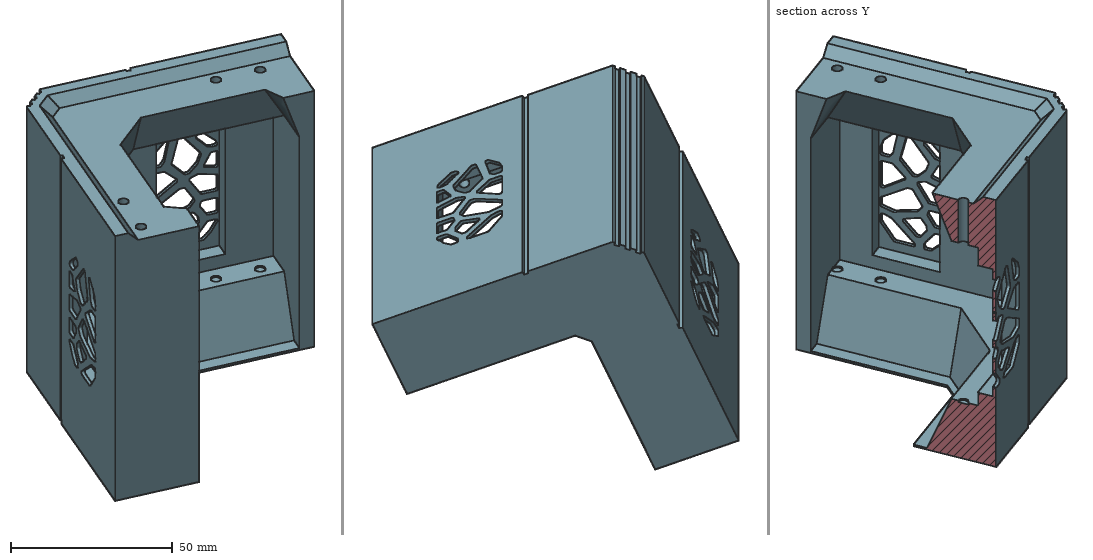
import cadquery as cq
import math

LENGTH_X = 83.5
LENGTH_Y = 88.5
HEIGHT = 100.0
LEG_DEPTH = 28.1
INNER_CORNER = 32.0

PANEL_STEP = 0.4
OUTER_CORNER = 7.9
GROOVE_CENTER = 37.2
GROOVE_MOUTH = 1.9
GROOVE_BASE = 1.3
GROOVE_DEPTH = 1.1

CORNER_GROOVE_COUNT = 3
CORNER_GROOVE_PITCH = 3.6
CORNER_GROOVE_MOUTH = 1.7
CORNER_GROOVE_BASE = 1.5
CORNER_GROOVE_DEPTH = 0.8

RIM_HEIGHT = 3.4
RIM_TOP_INSET = 4.4
RIM_TOP_CORNER = 8.8
RIM_FOOT_INSET = 7.7
RIM_FOOT_CORNER = 11.5
DECK_Z = HEIGHT - RIM_HEIGHT

WALL = 6.2
END_WALL = 5.0
CAVITY_CORNER = 10.5
FLOOR = 0.8
SHELF_Z = 21.5
FLARE_ANGLE = 68.0
FLARE_DECK_INSET = 21.8
FLARE_FLOOR_INSET = 23.6
FLARE_CORNER = 33.1
NOTCH_END = 10.4
NOTCH_END_ANGLE = 30.0
FLARE_SLOPE = math.tan(math.radians(FLARE_ANGLE))
FLARE_ROOT_INSET = FLARE_FLOOR_INSET - (SHELF_Z - FLOOR) / FLARE_SLOPE
CEILING_Z = DECK_Z - (FLARE_DECK_INSET - FLARE_ROOT_INSET) * FLARE_SLOPE

HOLE_STATIONS = (62.3, 77.1)
HOLE_INSET = 11.2
HOLE_DIAMETER = 3.3
SEAT_DEPTH = 0.6

NEAR = 44.9
FAR = 66.9
LOW = 29.7
HIGH = 70.3
LATTICE_THICKNESS = 1.2
RECESS_SIDE_MARGIN = 0.5
RECESS_END_MARGIN = 3.4
CELL_RADIUS = 0.7
WINDOW_CELLS = [
    [(44.6, 64.3), (45.8, 66.4), (49.9, HIGH), (51.3, HIGH), (52.5, 69.1), (48.3, 64.5), (47.0, 64.2)],
    [(50.4, 62.4), (56.6, HIGH), (58.1, HIGH), (60.4, 60.9), (56.0, 56.0), (54.5, 56.0), (51.6, 59.0)],
    [(61.1, HIGH), (62.3, HIGH), (66.0, 66.5), (FAR, 64.0), (FAR, 60.9), (64.0, 60.9), (62.7, 62.6)],
    [(NEAR, 62.2), (47.2, 62.2), (49.9, 57.2), (45.7, 56.1), (NEAR, 56.1)],
    [(NEAR, 53.2), (51.5, 55.1), (54.8, 53.9), (50.5, 47.2), (NEAR, 47.2)],
    [(NEAR, 44.6), (50.4, 44.6), (51.0, 42.8), (48.4, 38.8), (NEAR, 38.8)],
    [(44.4, 36.5), (48.3, 36.5), (52.1, 31.6), (52.1, LOW), (49.7, LOW), (47.3, 32.0)],
    [(53.2, 41.1), (59.9, 38.8), (54.7, 33.7), (53.5, 33.7), (51.1, 36.8), (51.3, 38.6)],
    [(56.0, 51.0), (57.7, 51.0), (FAR, 45.0), (FAR, 41.7), (62.5, 40.7), (54.2, 43.2), (52.5, 45.4)],
    [(62.8, 58.8), (FAR, 58.8), (FAR, 48.3), (65.5, 49.1), (58.0, 54.3)],
    [(54.0, LOW), (62.3, LOW), (FAR, 35.8), (FAR, 39.1), (65.6, 39.1), (63.2, 38.3)],
]


def prism(points, bottom, top):
    return cq.Workplane("XY").workplane(offset=bottom).polyline(points).close().extrude(top - bottom)


def ruled_block(lower, bottom, upper, top):
    """Straight-sided block between two outlines with matching corners."""
    base = cq.Workplane("XY").workplane(offset=bottom).polyline(lower).close()
    return base.workplane(offset=top - bottom).polyline(upper).close().loft(ruled=True)


def swapped(points):
    """Mirror points across the plane x = y, in reverse order."""
    return [(y, x) for x, y in reversed(points)]


def l_path(inset, corner, end=0.0):
    """Line at a distance inside both outer faces, chamfered at the corner, from leg end to leg end."""
    return [(inset, LENGTH_Y - end), (inset, corner), (corner, inset), (LENGTH_X - end, inset)]


def make_blank():
    step = [(0, GROOVE_CENTER), (PANEL_STEP, GROOVE_CENTER), (PANEL_STEP, OUTER_CORNER)]
    skin = [(0, LENGTH_Y)] + step + swapped(step) + [(LENGTH_X, 0)]
    back = l_path(LEG_DEPTH, INNER_CORNER)
    return prism(skin + back[::-1], 0, HEIGHT)


def make_groove(mouth, base, depth):
    """Full-height tapered groove, cut into a face on the plane x = 0."""
    taper = [(0, -mouth / 2), (depth, -base / 2), (depth, base / 2), (0, mouth / 2)]
    outline = taper + [(-depth, mouth / 2), (-depth, -mouth / 2)]
    return prism(outline, 0, HEIGHT)


def make_grooves():
    leg_groove = make_groove(GROOVE_MOUTH, GROOVE_BASE, GROOVE_DEPTH)
    grooves = leg_groove.translate((0, GROOVE_CENTER, 0))
    grooves = grooves.union(leg_groove.rotate((0, 0, 0), (0, 0, 1), 90).translate((GROOVE_CENTER, 0, 0)))
    corner_groove = make_groove(CORNER_GROOVE_MOUTH, CORNER_GROOVE_BASE, CORNER_GROOVE_DEPTH)
    corner_groove = corner_groove.rotate((0, 0, 0), (0, 0, 1), 45)
    middle = (PANEL_STEP + OUTER_CORNER) / 2
    for index in range(CORNER_GROOVE_COUNT):
        shift = (index - (CORNER_GROOVE_COUNT - 1) / 2) * CORNER_GROOVE_PITCH / math.sqrt(2)
        grooves = grooves.union(corner_groove.translate((middle + shift, middle - shift, 0)))
    return grooves


def make_rim_cut():
    far_corner = [(LENGTH_X, LENGTH_Y)]
    foot = l_path(RIM_FOOT_INSET, RIM_FOOT_CORNER) + far_corner
    top = l_path(RIM_TOP_INSET, RIM_TOP_CORNER) + far_corner
    return ruled_block(foot, DECK_Z, top, HEIGHT)


def flare_outline(inset, end, mouth_end):
    """Cavity outline whose ends run from the back line to the open side of each leg."""
    mouth_x = LENGTH_X - mouth_end
    mouth_y = LENGTH_Y - mouth_end
    return l_path(inset, FLARE_CORNER, end) + [(mouth_x, LEG_DEPTH), (mouth_x, mouth_y), (LEG_DEPTH, mouth_y)]


def make_cavity():
    room = l_path(WALL, CAVITY_CORNER, END_WALL) + [(LENGTH_X - END_WALL, LENGTH_Y - END_WALL)]
    root = flare_outline(FLARE_ROOT_INSET, END_WALL, END_WALL)
    floor = flare_outline(FLARE_FLOOR_INSET, END_WALL, END_WALL)
    notch_depth = LEG_DEPTH - FLARE_DECK_INSET
    notch_root_end = NOTCH_END + notch_depth * math.tan(math.radians(NOTCH_END_ANGLE))
    notch = flare_outline(FLARE_DECK_INSET, notch_root_end, NOTCH_END)
    cavity = prism(room, SHELF_Z, CEILING_Z)
    cavity = cavity.union(ruled_block(floor, FLOOR, root, SHELF_Z))
    return cavity.union(ruled_block(root, CEILING_Z, notch, DECK_Z))


def make_holes():
    y_leg = [(HOLE_INSET, station) for station in HOLE_STATIONS]
    centers = y_leg + swapped(y_leg)
    deck = cq.Workplane("XY").workplane(offset=CEILING_Z).pushPoints(centers)
    deck_holes = deck.circle(HOLE_DIAMETER / 2).extrude(DECK_Z - CEILING_Z)
    shelf = cq.Workplane("XY").workplane(offset=SHELF_Z).pushPoints(centers)
    return deck_holes.union(shelf.circle(HOLE_DIAMETER / 2).extrude(-SEAT_DEPTH))


def wall_cutters(outline, start, end):
    """Prisms through a depth range of both outer walls; on the Y leg the outline runs the other way round."""
    reversed_outline = [(NEAR + FAR - along, height) for along, height in outline]
    x_leg = cq.Workplane("XZ").workplane(offset=-start).polyline(outline).close().extrude(start - end)
    y_leg = cq.Workplane("YZ").workplane(offset=start).polyline(reversed_outline).close().extrude(end - start)
    return x_leg, y_leg


def cut_windows(body):
    near = NEAR - RECESS_SIDE_MARGIN
    far = FAR + RECESS_SIDE_MARGIN
    bottom = LOW - RECESS_END_MARGIN
    top = HIGH + RECESS_END_MARGIN
    recess = [(near, bottom), (far, bottom), (far, top), (near, top)]
    for cutter in wall_cutters(recess, LATTICE_THICKNESS, WALL):
        body = body.cut(cutter)
    for cell in WINDOW_CELLS:
        x_leg, y_leg = wall_cutters(cell, 0, LATTICE_THICKNESS)
        body = body.cut(x_leg.edges("|Y").fillet(CELL_RADIUS))
        body = body.cut(y_leg.edges("|X").fillet(CELL_RADIUS))
    return body


body = make_blank()
for cutter in (make_grooves(), make_rim_cut(), make_cavity(), make_holes()):
    body = body.cut(cutter)
result = cut_windows(body)